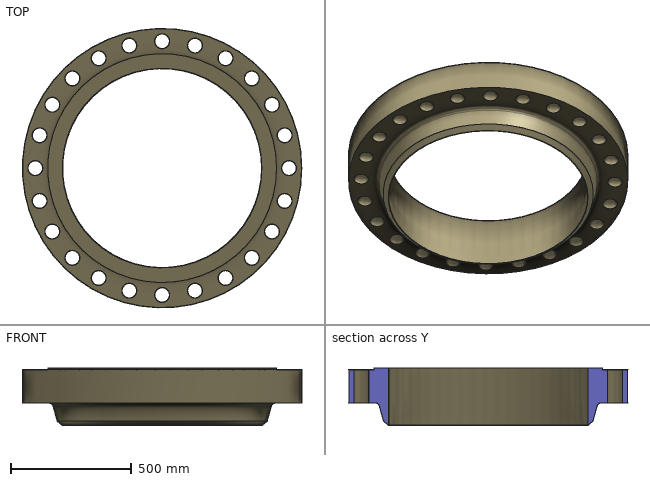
import cadquery as cq

outer_diameter = 1162.0
plate_thickness = 140.0
bore_diameter = 827.0

face_diameter = 952.0
face_height = 7.0

hub_height = 93.0
hub_top_diameter = 916.0
hub_bevel_top_diameter = 874.0
hub_end_diameter = 831.0
hub_bevel_height = 17.0
hub_fillet_radius = 19.0

bolt_count = 24
bolt_circle_diameter = 1055.0
bolt_hole_diameter = 60.0

plate_bottom = hub_height
plate_top = plate_bottom + plate_thickness
face_top = plate_top + face_height


def flange_body():
    """Revolve the half section of the plate, raised face and hub about Z."""
    section = (
        cq.Workplane("XZ")
        .moveTo(bore_diameter / 2, 0)
        .lineTo(hub_end_diameter / 2, 0)
        .lineTo(hub_bevel_top_diameter / 2, hub_bevel_height)
        .lineTo(hub_top_diameter / 2, plate_bottom)
        .lineTo(outer_diameter / 2, plate_bottom)
        .lineTo(outer_diameter / 2, plate_top)
        .lineTo(face_diameter / 2, plate_top)
        .lineTo(face_diameter / 2, face_top)
        .lineTo(bore_diameter / 2, face_top)
        .close()
    )
    body = section.revolve(360, (0, 0, 0), (0, 1, 0))
    plate_underside = body.faces("-Z").faces(">Z")
    root_edge = plate_underside.edges(cq.selectors.RadiusNthSelector(0))
    return root_edge.fillet(hub_fillet_radius)


def bolt_holes():
    """Cylinders through the plate, evenly spaced on the bolt circle."""
    return (
        cq.Workplane("XY", origin=(0, 0, plate_bottom))
        .polarArray(bolt_circle_diameter / 2, 0, 360, bolt_count)
        .circle(bolt_hole_diameter / 2)
        .extrude(plate_thickness)
    )


result = flange_body().cut(bolt_holes())